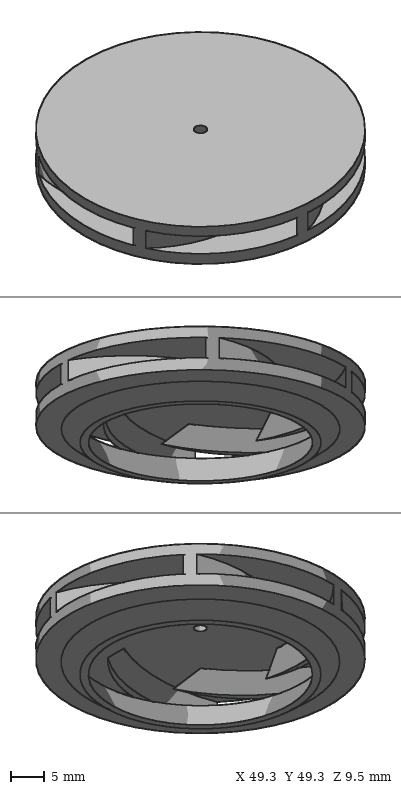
import cadquery as cq
import math

outer_radius = 24.65
height = 9.5
bore_radius = 1.0

hub_thickness = 1.77
passage_height = 3.25
rim_thickness = 1.9
hub_bottom = height - hub_thickness
shroud_top = hub_bottom - passage_height
rim_bottom = shroud_top - rim_thickness

inlet_outer_radius = 18.05
inlet_inner_radius = 16.75
flare_radius = 20.85
flare_drop = 0.45
throat_radius = 19.25

blade_count = 6
blade_spacing = 360 / blade_count
blade_tip_width = 2.0
tip_overhang = 1.5
blade_thickness = 1.25
shroud_side_bend = (12.32, 13.3)
shroud_side_end = (14.05, 2.45)
hub_side_bend = (10.35, 13.3)
hub_side_end = (11.85, 5.9)


def hub_disc():
    return cq.Workplane("XY").workplane(offset=hub_bottom).circle(outer_radius).extrude(hub_thickness)


def shroud():
    """Flat outer ring flowing into a conical inlet with an open eye."""
    profile = (
        cq.Workplane("XZ")
        .moveTo(inlet_inner_radius, 0)
        .lineTo(inlet_outer_radius, 0)
        .lineTo(flare_radius, rim_bottom - flare_drop)
        .lineTo(outer_radius, rim_bottom)
        .lineTo(outer_radius, shroud_top)
        .lineTo(throat_radius, shroud_top)
        .close()
    )
    return profile.revolve(360, (0, 0, 0), (0, 1, 0))


def blade_outline(plane, bend, end):
    """Sketch a curved blade tapering from beyond the disc rim to a point at its inner end."""
    half_width = blade_tip_width / 2
    tip_outward = math.sqrt(outer_radius**2 - half_width**2)
    inset = blade_thickness / math.hypot(*bend)
    inner_bend = (bend[0] * (1 - inset), bend[1] * (1 - inset))
    return (
        plane.moveTo(-half_width, tip_outward)
        .lineTo(-half_width, tip_outward + tip_overhang)
        .lineTo(half_width, tip_outward + tip_overhang)
        .lineTo(half_width, tip_outward)
        .threePointArc(bend, end)
        .threePointArc(inner_bend, (-half_width, tip_outward))
        .close()
    )


def blade():
    """Twisted blade between the shroud and the hub, with its tip towards -Y."""
    lower = blade_outline(cq.Workplane("XY", origin=(0, 0, shroud_top)), shroud_side_bend, shroud_side_end)
    both_ends = blade_outline(lower.workplane(offset=passage_height), hub_side_bend, hub_side_end)
    rim_trim = cq.Workplane("XY").circle(outer_radius).extrude(height)
    return both_ends.loft(ruled=True).mirror("XZ").intersect(rim_trim)


impeller = hub_disc().union(shroud())
base_blade = blade()
for index in range(blade_count):
    impeller = impeller.union(base_blade.rotate((0, 0, 0), (0, 0, 1), index * blade_spacing))

bore = cq.Workplane("XY").circle(bore_radius).extrude(height)
result = impeller.cut(bore)